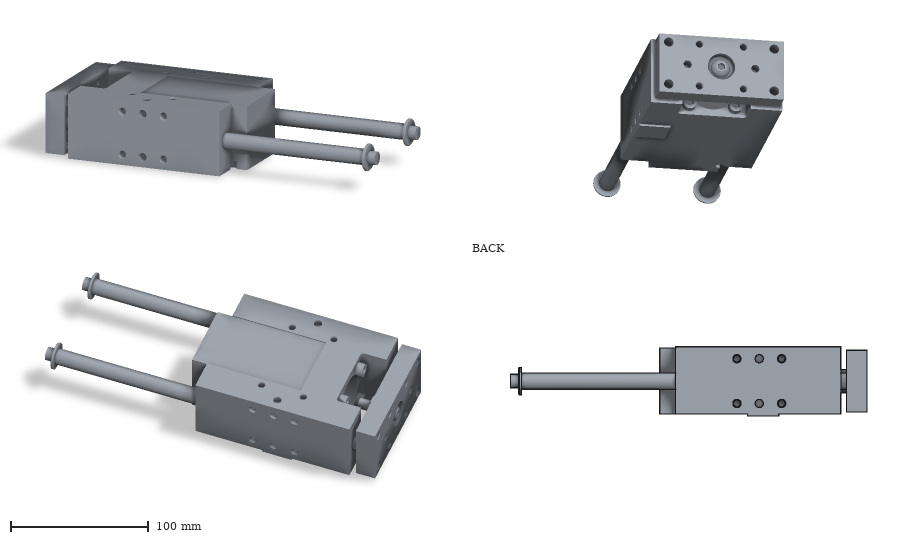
import cadquery as cq
import math


plate_length = 15.0
plate_width = 92.0
plate_height = 45.0

housing_start = 19.0
housing_length = 120.0
housing_width = 97.0
housing_top = 25.0
housing_height = 49.0
housing_bottom = housing_top - housing_height
housing_end = housing_start + housing_length

cylinder_start = 66.0
cylinder_end = 150.7
cylinder_width = 50.6
cylinder_sink = 0.8
cylinder_top = housing_top - cylinder_sink

pocket_depth = 19.5
pocket_width = cylinder_width
pocket_corner_radius = 2.5
pocket_wall = housing_start + pocket_depth
bore_diameter = 38.0

relief_diameter = 6.5
relief_depth = 6.0

pad_start = 64.0
pad_length = 23.0
pad_width = 23.0
pad_thickness = 1.5

rod_diameter = 12.0
rod_spacing = 74.0
rod_end = 251.0

washer_diameter = 20.0
washer_thickness = 2.0
washer_chamfer = 0.5

screw_head_diameter = 10.0
screw_head_height = 6.0
screw_hex_width = 5.0
screw_hex_depth = 3.0
flange_screw_protrusion = 5.5
flange_screw_half_spacing_y = 17.0
flange_screw_half_spacing_z = 16.25

hole_pitch = 32.5
hole_row_x = 78.3
tapped_diameter = 4.92
tapped_mouth_diameter = 6.0
tapped_depth = 12.0
drill_point_angle = 118.0
dowel_diameter = 6.0
housing_dowel_depth = 4.5
top_tapped_half_spacing = 30.5
top_dowel_half_spacing = 40.5

plate_corner_hole_diameter = 7.0
plate_corner_hole_half_spacing = 39.0
plate_dowel_half_spacing = 25.0
plate_dowel_depth = 10.0

coupling_recess_diameter = 20.0
coupling_recess_depth = 6.0
coupling_washer_thickness = 1.6
coupling_disc_diameter = 17.0
coupling_disc_end = 20.4
coupling_pin_diameter = 8.0
coupling_pin_end = 30.0
button_head_diameter = 14.0
button_head_height = 4.4
button_flat_diameter = 7.4
button_hex_width = 5.0
button_hex_depth = 3.0

hex_corner_ratio = 2 / math.sqrt(3)


def box(x0, x1, y0, y1, z0, z1):
    """Block between two opposite corners."""
    return cq.Workplane("XY").box(x1 - x0, y1 - y0, z1 - z0, centered=False).translate((x0, y0, z0))


def cylinder_x(diameter, x0, x1, y=0.0, z=0.0):
    """Cylinder along X from x0 to x1."""
    return cq.Workplane("YZ", origin=(x0, y, z)).circle(diameter / 2).extrude(x1 - x0)


def hex_x(width, x0, x1, y=0.0, z=0.0):
    """Hexagonal prism along X, sized across its flats, with two corners in line with Z."""
    prism = cq.Workplane("YZ").polygon(6, width * hex_corner_ratio).extrude(x1 - x0)
    return prism.rotate((0, 0, 0), (1, 0, 0), 90).translate((x0, y, z))


def plain_hole(diameter, depth, point, direction):
    """Flat-bottomed hole, as a cutter."""
    return cq.Workplane(cq.Solid.makeCylinder(diameter / 2, depth, cq.Vector(*point), cq.Vector(*direction)))


def tapped_hole(point, direction, depth=tapped_depth):
    """Drilled hole with a chamfered mouth and a drill point, as a cutter."""
    radius = tapped_diameter / 2
    mouth_radius = tapped_mouth_diameter / 2
    point_length = radius / math.tan(math.radians(drill_point_angle / 2))
    mouth_depth = mouth_radius - radius
    start = cq.Vector(*point)
    along = cq.Vector(*direction)
    tip = cq.Workplane(cq.Solid.makeCone(radius, 0, point_length, start + along * depth, along))
    mouth = cq.Workplane(cq.Solid.makeCone(mouth_radius, radius, mouth_depth, start, along))
    return plain_hole(tapped_diameter, depth, point, direction).union(tip).union(mouth)


def make_housing():
    half_width = housing_width / 2
    half_cylinder = cylinder_width / 2
    body = box(housing_start, housing_end, -half_width, half_width, housing_bottom, housing_top)

    body = body.cut(box(cylinder_start, housing_end, -half_cylinder, half_cylinder, cylinder_top, housing_top))
    body = body.union(
        box(cylinder_start, cylinder_end, -half_cylinder, half_cylinder, housing_bottom, cylinder_top)
    )

    half_pocket = pocket_width / 2
    pocket = box(housing_start, pocket_wall, -half_pocket, half_pocket, housing_bottom, housing_top)
    body = body.cut(pocket.edges("|Z and >X").fillet(pocket_corner_radius))
    body = body.cut(cylinder_x(bore_diameter, pocket_wall, cylinder_start))

    head_start = pocket_wall - flange_screw_protrusion
    for side_y in (-1, 1):
        for side_z in (-1, 1):
            y = side_y * flange_screw_half_spacing_y
            z = side_z * flange_screw_half_spacing_z
            body = body.union(cylinder_x(screw_head_diameter, head_start, pocket_wall, y, z))
            body = body.cut(hex_x(screw_hex_width, head_start, head_start + screw_hex_depth, y, z))

    for side in (-1, 1):
        body = body.cut(cylinder_x(rod_diameter, housing_start, housing_end, side * rod_spacing / 2))

    for side in (-1, 1):
        inward = (0, -side, 0)
        for z in (-hole_pitch / 2, hole_pitch / 2):
            for x in (hole_row_x - hole_pitch / 2, hole_row_x + hole_pitch / 2):
                body = body.cut(tapped_hole((x, side * half_width, z), inward))
            dowel_point = (hole_row_x, side * half_width, z)
            body = body.cut(plain_hole(dowel_diameter, housing_dowel_depth, dowel_point, inward))

    down = (0, 0, -1)
    for side in (-1, 1):
        for x in (hole_row_x - hole_pitch / 2, hole_row_x + hole_pitch / 2):
            body = body.cut(tapped_hole((x, side * top_tapped_half_spacing, housing_top), down))
        dowel_point = (hole_row_x, side * top_dowel_half_spacing, housing_top)
        body = body.cut(plain_hole(dowel_diameter, housing_dowel_depth, dowel_point, down))

    relief_point = (housing_end, -half_cylinder, housing_bottom)
    body = body.cut(plain_hole(relief_diameter, relief_depth, relief_point, (0, 0, 1)))

    pad = box(
        pad_start,
        pad_start + pad_length,
        half_width - pad_width,
        half_width,
        housing_bottom - pad_thickness,
        housing_bottom,
    )
    return body.union(pad)


def make_guide_rod(y):
    """Rod with the washer and screw head on its far end."""
    washer_end = rod_end + washer_thickness
    washer = cylinder_x(washer_diameter, rod_end, washer_end, y).edges(">X").chamfer(washer_chamfer)
    rod = cylinder_x(rod_diameter, plate_length, rod_end, y).union(washer)
    return rod.union(cylinder_x(screw_head_diameter, washer_end, washer_end + screw_head_height, y))


def make_button_head():
    """Domed screw head resting on the washer in the coupling recess."""
    radius = button_head_diameter / 2
    flat_radius = button_flat_diameter / 2
    base = coupling_recess_depth - coupling_washer_thickness
    tip = base - button_head_height

    centre_offset = (button_head_height**2 + radius**2 - flat_radius**2) / (2 * button_head_height)
    sphere_radius = math.hypot(centre_offset, flat_radius)
    middle_angle = (math.asin(radius / sphere_radius) + math.asin(flat_radius / sphere_radius)) / 2
    middle = (
        tip + centre_offset - sphere_radius * math.cos(middle_angle),
        sphere_radius * math.sin(middle_angle),
    )
    head = (
        cq.Workplane("XY")
        .moveTo(tip, 0)
        .lineTo(tip, flat_radius)
        .threePointArc(middle, (base, radius))
        .lineTo(base, 0)
        .close()
        .revolve(360, (0, 0, 0), (1, 0, 0))
    )
    return head.cut(hex_x(button_hex_width, tip, tip + button_hex_depth))


def make_slide():
    half_width = plate_width / 2
    half_height = plate_height / 2
    body = box(0, plate_length, -half_width, half_width, -half_height, half_height)

    inward = (1, 0, 0)
    for side in (-1, 1):
        for z in (-hole_pitch / 2, hole_pitch / 2):
            body = body.cut(tapped_hole((0, side * hole_pitch / 2, z), inward, plate_length))
            corner = (0, side * plate_corner_hole_half_spacing, z)
            body = body.cut(plain_hole(plate_corner_hole_diameter, plate_length, corner, inward))
        dowel_point = (0, side * plate_dowel_half_spacing, 0)
        body = body.cut(plain_hole(dowel_diameter, plate_dowel_depth, dowel_point, inward))

    body = body.cut(cylinder_x(coupling_recess_diameter, 0, coupling_recess_depth))
    washer_start = coupling_recess_depth - coupling_washer_thickness
    body = body.union(cylinder_x(coupling_disc_diameter, washer_start, coupling_recess_depth))
    body = body.union(make_button_head())
    body = body.union(cylinder_x(coupling_disc_diameter, plate_length, coupling_disc_end))
    body = body.union(cylinder_x(coupling_pin_diameter, coupling_disc_end, coupling_pin_end))

    for side in (-1, 1):
        body = body.union(make_guide_rod(side * rod_spacing / 2))
    return body


housing = make_housing()
slide = make_slide()
result = cq.Compound.makeCompound([housing.val(), slide.val()])